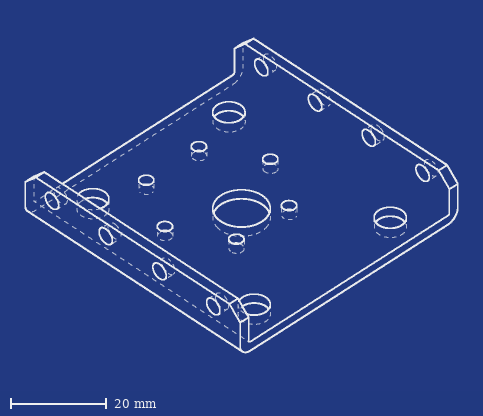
import cadquery as cq

side = 64.0
height = 12.7
thickness = 2.5
inner_bend_radius = 0.5
outer_bend_radius = inner_bend_radius + thickness
flange_corner_chamfer = 3.2

bore_diameter = 12.0
mount_hole_diameter = 6.8
mount_spacing_x = 48.0
mount_spacing_y = 40.0
ring_hole_diameter = 3.2
ring_hole_count = 6
ring_radius = 15.5
ring_center_x = -7.1

flange_hole_diameter = 4.0
flange_hole_count = 4
flange_hole_pitch = 16.0
flange_hole_height = 9.1


def bent_sheet():
    """Channel running along X, with rounded bends along both lower edges."""
    outer = (
        cq.Workplane("XY")
        .box(side, side, height, centered=(True, True, False))
        .edges("|X and <Z")
        .fillet(outer_bend_radius)
    )
    inner = (
        cq.Workplane("XY")
        .workplane(offset=thickness)
        .box(side, side - 2 * thickness, height, centered=(True, True, False))
        .edges("|X and <Z")
        .fillet(inner_bend_radius)
    )
    return outer.cut(inner)


def cut_base_holes(part):
    bore = cq.Workplane("XY").circle(bore_diameter / 2).extrude(thickness)
    mounts = (
        cq.Workplane("XY")
        .rarray(mount_spacing_x, mount_spacing_y, 2, 2)
        .circle(mount_hole_diameter / 2)
        .extrude(thickness)
    )
    ring = (
        cq.Workplane("XY")
        .center(ring_center_x, 0)
        .polarArray(ring_radius, 90, 360, ring_hole_count)
        .circle(ring_hole_diameter / 2)
        .extrude(thickness)
    )
    return part.cut(bore).cut(mounts).cut(ring)


def cut_flange_holes(part):
    """Row of holes passing through both flanges along Y."""
    row = (
        cq.Workplane("XZ")
        .center(0, flange_hole_height)
        .rarray(flange_hole_pitch, 0.65, flange_hole_count, 1)
        .circle(flange_hole_diameter / 2)
        .extrude(side / 2, both=True)
    )
    return part.cut(row)


bracket = bent_sheet()
bracket = bracket.faces(">Z").edges("|Y").chamfer(flange_corner_chamfer)
bracket = cut_base_holes(bracket)
result = cut_flange_holes(bracket)